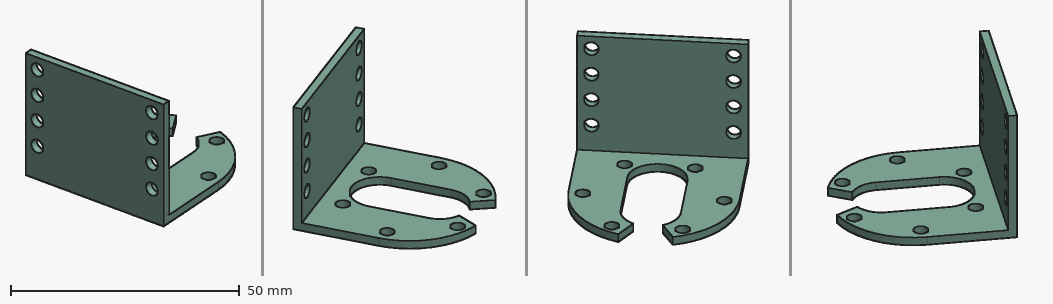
import cadquery as cq
import math

width = 37.6
depth = 37.82
height = 30.8
thickness = 2.0

back_radius = width / 2
back_center_y = 20.0

slot_radius = 6.6
slot_front_y = 12.97
slot_back_y = 27.05
mouth_inner_half = 3.2

base_hole_diameter = 3.3
base_hole_count = 6
hole_ring_radius = 15.55
hole_ring_y = 20.8

wall_hole_diameter = 3.2
wall_hole_half_span = 15.62
wall_hole_first_z = 8.35
wall_hole_pitch = 6.43
wall_hole_rows = 4

mouth_outer_half = math.sqrt(back_radius**2 - (depth - back_center_y) ** 2)
mouth_inner_y = slot_back_y + math.sqrt(slot_radius**2 - mouth_inner_half**2)


def arc_point(radius, center_y, start, end):
    """Point midway along an arc centred on X = 0, between two angles."""
    middle = (start + end) / 2
    return radius * math.cos(middle), center_y + radius * math.sin(middle)


def make_base():
    outer_end = math.atan2(depth - back_center_y, mouth_outer_half)
    inner_end = math.atan2(mouth_inner_y - slot_back_y, mouth_inner_half)
    outer_mid_x, outer_mid_y = arc_point(back_radius, back_center_y, 0, outer_end)
    inner_mid_x, inner_mid_y = arc_point(slot_radius, slot_back_y, 0, inner_end)
    base = (
        cq.Workplane("XY")
        .moveTo(-width / 2, 0)
        .lineTo(width / 2, 0)
        .lineTo(width / 2, back_center_y)
        .threePointArc((outer_mid_x, outer_mid_y), (mouth_outer_half, depth))
        .lineTo(mouth_inner_half, mouth_inner_y)
        .threePointArc((inner_mid_x, inner_mid_y), (slot_radius, slot_back_y))
        .lineTo(slot_radius, slot_front_y)
        .threePointArc((0, slot_front_y - slot_radius), (-slot_radius, slot_front_y))
        .lineTo(-slot_radius, slot_back_y)
        .threePointArc((-inner_mid_x, inner_mid_y), (-mouth_inner_half, mouth_inner_y))
        .lineTo(-mouth_outer_half, depth)
        .threePointArc((-outer_mid_x, outer_mid_y), (-width / 2, back_center_y))
        .close()
        .extrude(thickness)
    )
    holes = (
        cq.Workplane("XY")
        .center(0, hole_ring_y)
        .polarArray(hole_ring_radius, 0, 360, base_hole_count)
        .circle(base_hole_diameter / 2)
        .extrude(thickness)
    )
    return base.cut(holes)


def make_wall():
    wall = cq.Workplane("XY").box(width, thickness, height, centered=(True, False, False))
    hole_points = [
        (side * wall_hole_half_span, wall_hole_first_z + row * wall_hole_pitch)
        for side in (-1, 1)
        for row in range(wall_hole_rows)
    ]
    holes = (
        cq.Workplane("XZ")
        .pushPoints(hole_points)
        .circle(wall_hole_diameter / 2)
        .extrude(-thickness)
    )
    return wall.cut(holes)


result = make_base().union(make_wall())